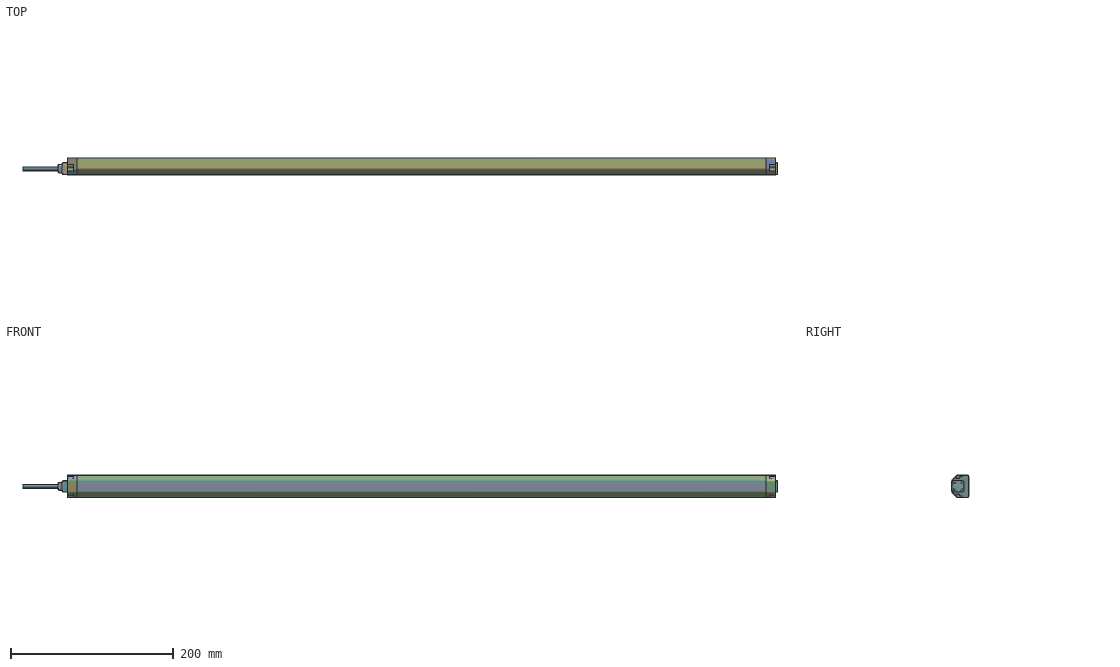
import cadquery as cq

total_length = 931.6
bar_depth = 21.01
bar_height = 28.0

front_bevel = 6.76
front_blend_radius = 3.0
back_radius = 2.2

profile_length = 850.0
cap_length = 12.0
plain_plate_thickness = 2.6
cable_plate_thickness = 6.6
outlet_length = 5.0

plate_height = 14.0
plate_back_y = 4.5
plate_front_y = -10.2
plain_plate_rim_radius = 1.0
cable_plate_rim_radius = 2.0
corner_radius = 3.0

recess_length = 7.5
recess_depth = 2.0
recess_back_y = 2.0
screw_groove_radius = 2.5
screw_y = -3.0

outlet_height = 10.0
outlet_back_y = 2.5
outlet_front_y = -8.2
outlet_rim_radius = 2.0
cable_diameter = 5.0
cable_y = screw_y

front_y = -bar_depth / 2
top_z = bar_height / 2
profile_end_x = total_length / 2 - plain_plate_thickness - cap_length
profile_start_x = profile_end_x - profile_length
cable_start_x = -total_length / 2


def bar_section(length):
    """Bar cross-section extruded from X = 0 towards +X."""
    body = cq.Workplane("XY").box(length, bar_depth, bar_height, centered=(False, True, True))
    body = body.edges("|X and <Y").chamfer(front_bevel)
    body = body.edges("|X and >Y").fillet(back_radius)
    bevel_corners = ((front_y, top_z - front_bevel), (front_y + front_bevel, top_z))
    for z_sign in (-1, 1):
        for y, z in bevel_corners:
            corner = cq.selectors.NearestToPointSelector((length / 2, y, z_sign * z))
            body = body.edges(corner).fillet(front_blend_radius)
    return body


def rounded_step(length, low_y, high_y, height, rim_radius):
    """Block from X = 0, centred on Z = 0, with rounded back corners and a rounded outer rim."""
    block = cq.Workplane("XY").box(length, high_y - low_y, height, centered=(False, False, True))
    block = block.edges("|X and >Y").fillet(corner_radius)
    block = block.faces(">X").edges().fillet(rim_radius)
    return block.translate((0, low_y, 0))


def screw_recess(z_sign):
    """Volume cut from the top (+1) or bottom (-1) of a cap: a step with a round screw groove."""
    floor_z = top_z - recess_depth
    start_x = cap_length - recess_length
    recess = cq.Workplane("XY").box(recess_length, recess_back_y - front_y, recess_depth, centered=False)
    recess = recess.translate((start_x, front_y, floor_z))
    groove = cq.Workplane("YZ", origin=(start_x, screw_y, floor_z)).circle(screw_groove_radius)
    recess = recess.union(groove.extrude(recess_length))
    return recess if z_sign > 0 else recess.mirror("XY")


def end_cap(plate_thickness, plate_rim_radius):
    """Cap with its joint to the profile at X = 0 and its outer end towards +X."""
    cap = bar_section(cap_length)
    for z_sign in (-1, 1):
        cap = cap.cut(screw_recess(z_sign))
    plate_end_x = cap_length + plate_thickness
    plate = rounded_step(plate_end_x, plate_front_y, plate_back_y, plate_height, plate_rim_radius)
    return cap.union(plate)


def cable_end_cap():
    """Cap with the cable outlet and cable, built like end_cap and then mirrored to face -X."""
    cap = end_cap(cable_plate_thickness, cable_plate_rim_radius)
    outlet_end_x = cap_length + cable_plate_thickness + outlet_length
    outlet = rounded_step(outlet_end_x, outlet_front_y, outlet_back_y, outlet_height, outlet_rim_radius)
    cable_base_x = cap_length
    cable_length = profile_start_x - cable_start_x - cable_base_x
    cable = cq.Workplane("YZ", origin=(cable_base_x, cable_y, 0)).circle(cable_diameter / 2)
    cap = cap.union(outlet).union(cable.extrude(cable_length))
    return cap.mirror("YZ").translate((profile_start_x, 0, 0))


profile = bar_section(profile_length).translate((profile_start_x, 0, 0))
plain_cap = end_cap(plain_plate_thickness, plain_plate_rim_radius).translate((profile_end_x, 0, 0))
cable_cap = cable_end_cap()

result = cq.Compound.makeCompound([profile.val(), plain_cap.val(), cable_cap.val()])